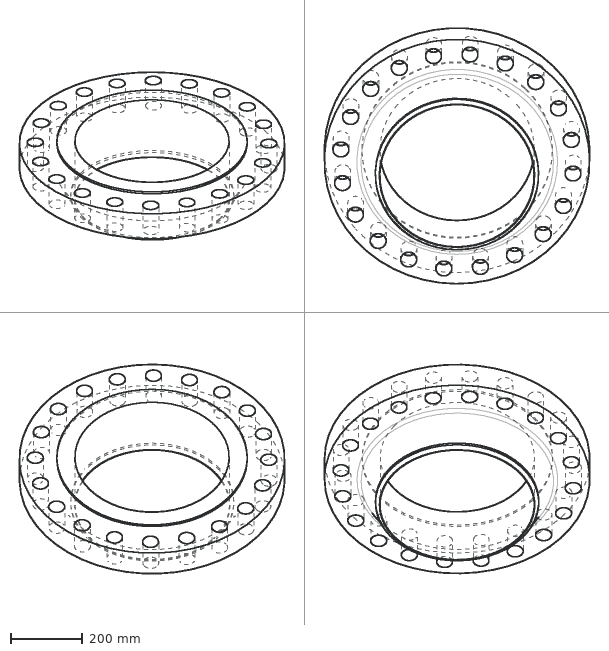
import cadquery as cq
import math

flange_diameter = 742.95
overall_height = 190.5
flange_thickness = 82.55
raised_face_diameter = 533.4
raised_face_height = 6.35
bore_diameter = 431.8

hub_base_diameter = 546.1
weld_end_diameter = 457.2
weld_end_length = 15.5
bevel_angle = 37.5
weld_land = 1.6
hub_fillet_radius = 13.0

bolt_count = 20
bolt_circle_diameter = 654.05
bolt_hole_diameter = 44.45

flange_top = -raised_face_height
flange_bottom = flange_top - flange_thickness
weld_end_bottom = -overall_height
weld_end_top = weld_end_bottom + weld_end_length

bore_radius = bore_diameter / 2
weld_end_radius = weld_end_diameter / 2
bevel_width = weld_end_radius - bore_radius - weld_land
bevel_height = bevel_width * math.tan(math.radians(bevel_angle))


def flange_body():
    """Revolve the half section of flange, raised face and hub, then fillet the hub base."""
    section = (
        cq.Workplane("XZ")
        .moveTo(bore_radius, 0)
        .lineTo(raised_face_diameter / 2, 0)
        .lineTo(raised_face_diameter / 2, flange_top)
        .lineTo(flange_diameter / 2, flange_top)
        .lineTo(flange_diameter / 2, flange_bottom)
        .lineTo(hub_base_diameter / 2, flange_bottom)
        .lineTo(weld_end_radius, weld_end_top)
        .lineTo(weld_end_radius, weld_end_bottom + bevel_height)
        .lineTo(weld_end_radius - bevel_width, weld_end_bottom)
        .lineTo(bore_radius, weld_end_bottom)
        .close()
    )
    body = section.revolve(360, (0, 0, 0), (0, 1, 0))
    flange_underside = body.faces("|Z").faces(">Z[-3]")
    hub_base_edge = flange_underside.edges("%CIRCLE").edges(cq.selectors.RadiusNthSelector(0))
    return hub_base_edge.fillet(hub_fillet_radius)


def bolt_holes():
    """Through holes spaced evenly on the bolt circle, the first on +X."""
    return (
        cq.Workplane("XY")
        .workplane(offset=flange_bottom)
        .polarArray(bolt_circle_diameter / 2, 0, 360, bolt_count)
        .circle(bolt_hole_diameter / 2)
        .extrude(flange_thickness)
    )


result = flange_body().cut(bolt_holes())